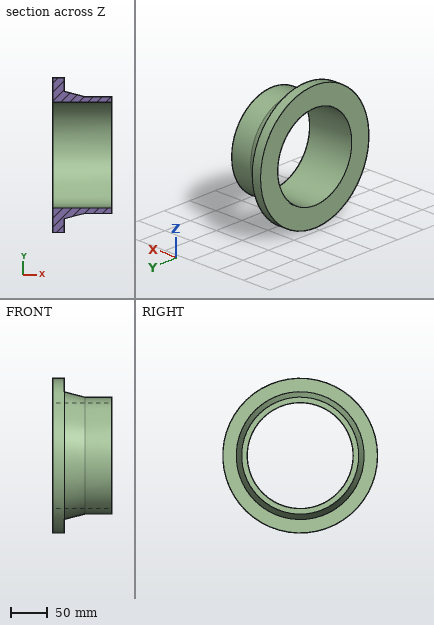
import cadquery as cq

total_length = 81.0
flange_diameter = 212.0
flange_thickness = 16.0
cone_base_diameter = 175.0
cone_length = 28.6
neck_diameter = 160.0
bore_diameter = 144.5

cone_end = flange_thickness + cone_length

half_section = (
    cq.Workplane("XY")
    .moveTo(0, bore_diameter / 2)
    .lineTo(0, flange_diameter / 2)
    .lineTo(flange_thickness, flange_diameter / 2)
    .lineTo(flange_thickness, cone_base_diameter / 2)
    .lineTo(cone_end, neck_diameter / 2)
    .lineTo(total_length, neck_diameter / 2)
    .lineTo(total_length, bore_diameter / 2)
    .close()
)

result = half_section.revolve(360, (0, 0, 0), (1, 0, 0))